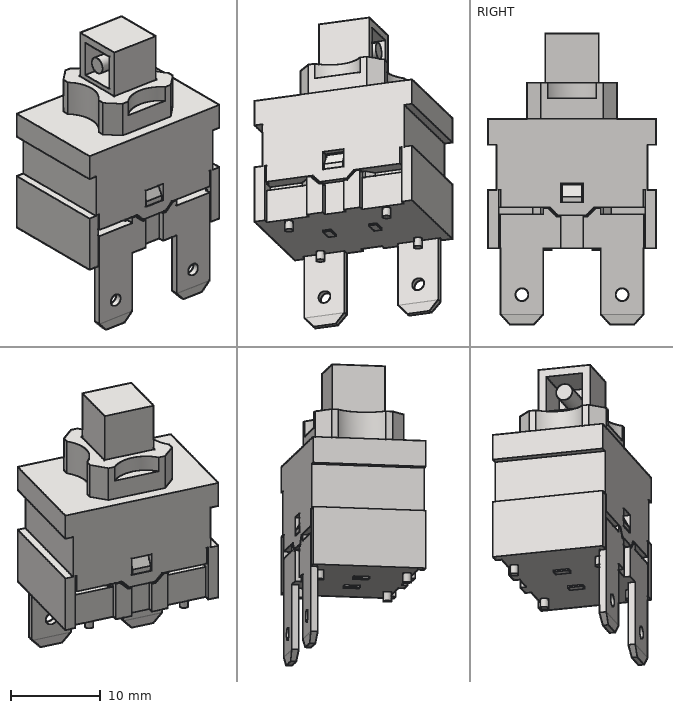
import cadquery as cq

width = 12.8
length = 18.8
half_width = width / 2
half_length = length / 2

base_top = 6.53
head_bottom = 11.55
head_top = 14.45
collar_top = 18.5
plunger_top = 24.0
terminal_bottom = plunger_top - 32.5

neck_half_length = 8.45

collar_size = 10.08
collar_chamfer = 1.55
scallop_half_chord = 2.7
scallop_sag = 1.17
scallop_radius = (scallop_half_chord**2 + scallop_sag**2) / (2 * scallop_sag)
side_scallop_depth = 1.75

plunger_size = 6.0
plunger_clearance = 0.08
plunger_wall = 0.9
window_width = plunger_size - 2 * plunger_wall
window_height = 4.1
plunger_pin_diameter = 1.9
plunger_pin_drop = 2.92

relief_depth = 0.68
post_inner = 8.15
skirt_end = 7.95
skirt_bottom = 4.58
tongue_half_top = 2.47
tongue_half_bottom = 1.62
tongue_bottom = 3.7
rib_outer = 3.2
rib_inner = 1.25
rib_top = 4.5
rib_slope_start = 2.65
rib_notch_end = 1.65
rib_notch_top = 3.5

opening_bottom = 3.8
opening_deep = 1.05
opening_shallow = 0.2
opening_slope_start = 4.35
opening_slope_end = opening_slope_start - (opening_deep - opening_shallow)

snap_half_width = 1.25
snap_bottom = 5.17
snap_top = 7.25
snap_depth = 0.8
latch_half_width = 1.1
latch_edge = 5.8
latch_top = 7.1
latch_setback = 0.05

terminal_thickness = 0.8
terminal_outer = 8.0
terminal_inner = rib_outer
terminal_center = (terminal_outer + terminal_inner) / 2
terminal_width = terminal_outer - terminal_inner
terminal_tip_width = 2.65
terminal_tip_height = 1.17
terminal_tip_taper = 0.08
terminal_hole_diameter = 1.4
terminal_hole_z = -5.17

locating_pin_diameter = 0.95
locating_pin_length = 1.0
locating_pin_x = 4.97
locating_pin_y = 5.82
contact_width = 1.75
contact_length = 0.9
contact_drop = 0.2
contact_x = -0.32
contact_y = 2.73


def block(x_size, y_size, z_low, z_high):
    """Box centred on the Z axis between two heights."""
    return cq.Workplane("XY").workplane(offset=z_low).rect(x_size, y_size).extrude(z_high - z_low)


def both_ends(shape):
    """The shape together with its mirror image in Y."""
    return shape.union(shape.mirror("XZ"))


def side_prism(points, start_x, depth):
    """(Y, Z) outline extruded towards +X from start_x."""
    return cq.Workplane("YZ").workplane(offset=start_x).polyline(points).close().extrude(depth)


def make_housing():
    base = block(width, length, 0, base_top)
    neck = block(width, 2 * neck_half_length, base_top, head_bottom)
    head = block(width, length, head_bottom, head_top)
    return base.union(neck).union(head)


def make_collar():
    collar = block(collar_size, collar_size, head_top, collar_top).edges("|Z").chamfer(collar_chamfer)
    offset = collar_size / 2 - scallop_sag + scallop_radius
    top = cq.Workplane("XY").workplane(offset=collar_top)
    end_points = [(0, offset), (0, -offset)]
    side_points = [(offset, 0), (-offset, 0)]
    end_scallops = top.pushPoints(end_points).circle(scallop_radius).extrude(head_top - collar_top)
    side_scallops = top.pushPoints(side_points).circle(scallop_radius).extrude(-side_scallop_depth)
    collar = collar.cut(end_scallops).cut(side_scallops)
    bore_size = plunger_size + 2 * plunger_clearance
    return collar.cut(block(bore_size, bore_size, head_top, collar_top))


def make_plunger():
    """Square button, open towards -Y with a pin standing on its back wall."""
    plunger = block(plunger_size, plunger_size, head_top, plunger_top)
    front = cq.Workplane("XZ").workplane(offset=plunger_size / 2)
    window_z = plunger_top - plunger_wall - window_height / 2
    pocket_depth = plunger_size - plunger_wall
    pocket = front.center(0, window_z).rect(window_width, window_height).extrude(-pocket_depth)
    pin = front.center(0, plunger_top - plunger_pin_drop).circle(plunger_pin_diameter / 2)
    return plunger.cut(pocket).union(pin.extrude(-pocket_depth))


def make_relief():
    """Material removed from the -X side around the ribs, posts and cover skirt."""
    recess = side_prism(
        [
            (0, 0),
            (post_inner, 0),
            (post_inner, base_top),
            (skirt_end, base_top),
            (skirt_end, skirt_bottom),
            (tongue_half_top, skirt_bottom),
            (tongue_half_bottom, tongue_bottom),
            (0, tongue_bottom),
        ],
        -half_width,
        relief_depth,
    )
    rib = side_prism(
        [
            (rib_inner, 0),
            (rib_outer, 0),
            (rib_outer, rib_top),
            (rib_slope_start, rib_top),
            (rib_notch_end, rib_notch_top),
            (rib_inner, rib_notch_top),
        ],
        -half_width,
        relief_depth,
    )
    floor_x = -half_width + relief_depth
    opening = (
        cq.Workplane("XY")
        .workplane(offset=opening_bottom)
        .polyline(
            [
                (floor_x, post_inner),
                (floor_x + opening_deep, post_inner),
                (floor_x + opening_deep, opening_slope_start),
                (floor_x + opening_shallow, opening_slope_end),
                (floor_x + opening_shallow, rib_outer),
                (floor_x, rib_outer),
            ]
        )
        .close()
        .extrude(skirt_bottom - opening_bottom)
    )
    return both_ends(recess.cut(rib).union(opening))


def make_snap_window():
    """Pocket in the -X side with a ramped latch left standing in it."""
    pocket = (
        cq.Workplane("XZ")
        .workplane(offset=-snap_half_width)
        .moveTo(-half_width, snap_bottom)
        .rect(snap_depth, snap_top - snap_bottom, centered=False)
        .extrude(2 * snap_half_width)
    )
    latch_face = -half_width + latch_setback
    latch = (
        cq.Workplane("XZ")
        .workplane(offset=-latch_half_width)
        .polyline(
            [
                (latch_face, snap_bottom),
                (latch_face, latch_edge),
                (-half_width + snap_depth, latch_top),
                (-half_width + snap_depth, snap_bottom),
            ]
        )
        .close()
        .extrude(2 * latch_half_width)
    )
    return pocket.cut(latch)


def make_terminals():
    """Two flat blades flush with the +X side, with pointed and thinned tips."""
    inner_x = half_width - terminal_thickness
    tip_start = terminal_bottom + terminal_tip_height
    half_blade = terminal_width / 2
    half_tip = terminal_tip_width / 2
    blade = side_prism(
        [
            (terminal_center - half_blade, opening_bottom),
            (terminal_center - half_blade, tip_start),
            (terminal_center - half_tip, terminal_bottom),
            (terminal_center + half_tip, terminal_bottom),
            (terminal_center + half_blade, tip_start),
            (terminal_center + half_blade, opening_bottom),
        ],
        inner_x,
        terminal_thickness,
    )
    thickness_profile = (
        cq.Workplane("XZ")
        .polyline(
            [
                (inner_x, opening_bottom),
                (inner_x, tip_start),
                (inner_x + terminal_tip_taper, terminal_bottom),
                (half_width - terminal_tip_taper, terminal_bottom),
                (half_width, tip_start),
                (half_width, opening_bottom),
            ]
        )
        .close()
        .extrude(-half_length)
    )
    hole = (
        cq.Workplane("YZ")
        .workplane(offset=inner_x)
        .center(terminal_center, terminal_hole_z)
        .circle(terminal_hole_diameter / 2)
        .extrude(terminal_thickness)
    )
    return both_ends(blade.intersect(thickness_profile).cut(hole))


def make_underside_details():
    underside = cq.Workplane("XY")
    pins = (
        underside.rect(2 * locating_pin_x, 2 * locating_pin_y, forConstruction=True)
        .vertices()
        .circle(locating_pin_diameter / 2)
        .extrude(-locating_pin_length)
    )
    contacts = (
        underside.pushPoints([(contact_x, contact_y), (contact_x, -contact_y)])
        .rect(contact_width, contact_length)
        .extrude(-contact_drop)
    )
    return pins.union(contacts)


housing = make_housing()
for side_cut in (make_relief(), make_snap_window()):
    housing = housing.cut(side_cut).cut(side_cut.mirror("YZ"))

result = (
    housing.union(make_collar())
    .union(make_plunger())
    .union(make_terminals())
    .union(make_underside_details())
)